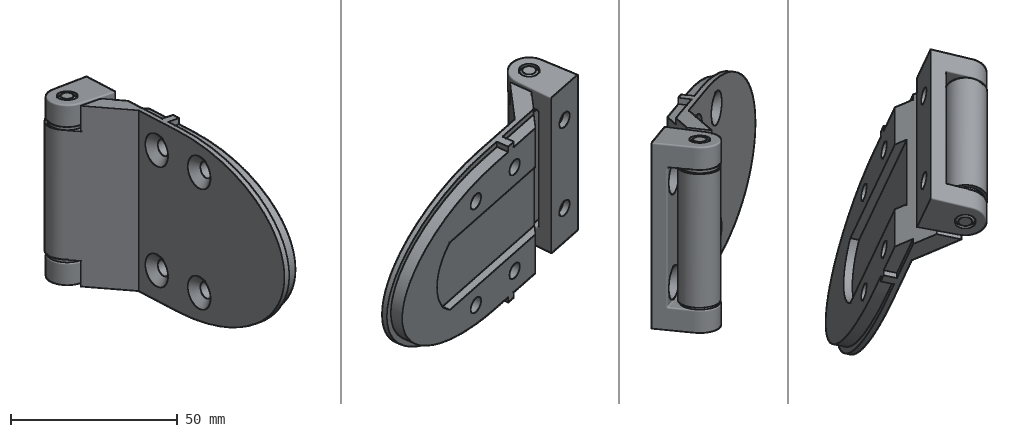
import cadquery as cq
import math


HEIGHT = 60.0
KNUCKLE_RADIUS = 6.5
LEAF_BACK = 16.0
TIP_X = 90.0

KNUCKLE_X = -0.5
KNUCKLE_Y = 0.0
KNUCKLE_LENGTH = 43.0

PIN_DIAMETER = 6.0
PIN_CHAMFER = 1.0
PIN_HOLE_DIAMETER = 6.2
WASHER_DIAMETER = 12.0

BRACKET_BACK = 13.0
BRACKET_HALF_WIDTH = 7.0
OPENING_HEIGHT = 45.0
OPENING_FLOOR = 8.05
BRACKET_FILLET = 0.5
BRACKET_SCREW_SPACING = 33.95
WASHER_THICKNESS = (OPENING_HEIGHT - KNUCKLE_LENGTH) / 2

LEAF_THICKNESS = 6.0
BEND_X = 21.4
NOTCH_X = 8.0
FLANGE_THICKNESS = 1.8
FLANGE_LIP = 2.0
TIP_LENGTH = 50.0
TAB_START_X = 30.4
TAB_WIDTH = 2.9
LEAF_FRONT = LEAF_BACK - LEAF_THICKNESS
FLANGE_BACK = LEAF_FRONT + FLANGE_THICKNESS
TIP_CENTRE_X = TIP_X - TIP_LENGTH

POCKET_WIDTH = 26.0
POCKET_FLOOR = 13.3
POCKET_END_X = 70.0
POCKET_END_RADIUS = 16.0

SCREW_DIAMETER = 5.3
COUNTERSINK_DIAMETER = 10.7
LEAF_SCREW_X = (30.0, 50.0)
LEAF_SCREW_SPACING = 40.0


def bar_on_axis(diameter, length):
    """Round bar on the pin axis, centred on Z = 0."""
    return cq.Workplane("XY", origin=(0, 0, -length / 2)).circle(diameter / 2).extrude(length)


def plane_facing_front(y):
    """Workplane at the given Y that faces -Y, with local axes along +X and +Z."""
    return cq.Workplane("XZ", origin=(0, y, 0))


def screw_points(x_places, spacing):
    """Screw centres in X and Z, in pairs on either side of Z = 0."""
    return [(x, side * spacing / 2) for x in x_places for side in (-1, 1)]


def countersunk_holes(body, face_y, depth, points):
    """Drill screw holes from the front face at face_y, with a 90 degree countersink."""
    countersink_depth = (COUNTERSINK_DIAMETER - SCREW_DIAMETER) / 2
    for x, z in points:
        drill = (
            cq.Workplane("XY", origin=(x, 0, z))
            .moveTo(0, face_y)
            .lineTo(COUNTERSINK_DIAMETER / 2, face_y)
            .lineTo(SCREW_DIAMETER / 2, face_y + countersink_depth)
            .lineTo(SCREW_DIAMETER / 2, face_y + depth)
            .lineTo(0, face_y + depth)
            .close()
            .revolve(360, (0, 0, 0), (0, 1, 0))
        )
        body = body.cut(drill)
    return body


def make_bracket():
    """U-shaped bracket with tapered flanks, a rounded front and two arms that hold the pin."""
    corner_distance = math.hypot(BRACKET_HALF_WIDTH, BRACKET_BACK)
    corner_angle = math.atan2(BRACKET_BACK, BRACKET_HALF_WIDTH)
    flank_normal = corner_angle - math.acos(KNUCKLE_RADIUS / corner_distance)
    tangent_x = KNUCKLE_RADIUS * math.cos(flank_normal)
    tangent_y = KNUCKLE_RADIUS * math.sin(flank_normal)
    bracket = (
        cq.Workplane("XY", origin=(0, 0, -HEIGHT / 2))
        .moveTo(-BRACKET_HALF_WIDTH, BRACKET_BACK)
        .lineTo(-tangent_x, tangent_y)
        .threePointArc((0, -KNUCKLE_RADIUS), (tangent_x, tangent_y))
        .lineTo(BRACKET_HALF_WIDTH, BRACKET_BACK)
        .close()
        .extrude(HEIGHT)
    )
    bracket = bracket.faces("<Z or >Z").edges("not(>Y)").fillet(BRACKET_FILLET)

    opening_width = 4 * BRACKET_HALF_WIDTH
    opening_reach = 2 * KNUCKLE_RADIUS
    opening = cq.Workplane("XY").box(
        opening_width, opening_reach + OPENING_FLOOR, OPENING_HEIGHT
    ).translate((0, (OPENING_FLOOR - opening_reach) / 2, 0))
    opening = opening.edges("|X and >Y").fillet(BRACKET_FILLET)
    bracket = bracket.cut(opening)
    margin = BRACKET_FILLET / 2
    opening_zone = cq.selectors.BoxSelector(
        (-opening_width, -opening_reach, -OPENING_HEIGHT / 2 - margin),
        (opening_width, OPENING_FLOOR + margin, OPENING_HEIGHT / 2 + margin),
    )
    bracket = bracket.edges(opening_zone).edges("not(|X)").fillet(BRACKET_FILLET)

    bracket = bracket.cut(bar_on_axis(PIN_HOLE_DIAMETER, HEIGHT))
    points = screw_points([0], BRACKET_SCREW_SPACING)
    wall = BRACKET_BACK - OPENING_FLOOR
    return countersunk_holes(bracket, OPENING_FLOOR, wall, points)


def make_pin():
    """Plain pin, flush with the bracket, with a chamfer at each end."""
    return bar_on_axis(PIN_DIAMETER, HEIGHT).faces("<Z or >Z").chamfer(PIN_CHAMFER)


def make_washer(side):
    """Washer between the knuckle and the upper (side = 1) or lower (side = -1) arm."""
    centre_z = side * (KNUCKLE_LENGTH + WASHER_THICKNESS) / 2
    washer = bar_on_axis(WASHER_DIAMETER, WASHER_THICKNESS)
    return washer.cut(bar_on_axis(PIN_DIAMETER, WASHER_THICKNESS)).translate((0, 0, centre_z))


def tip_outline(y, inset):
    """Leaf outline at the given Y: straight edges and an elliptical tip, moved in by inset."""
    half_height = HEIGHT / 2 - inset
    return (
        plane_facing_front(y)
        .moveTo(NOTCH_X, half_height)
        .lineTo(TIP_CENTRE_X, half_height)
        .ellipseArc(TIP_LENGTH - inset, half_height, -90, 90, rotation_angle=0, sense=-1, startAtCurrent=True)
        .lineTo(NOTCH_X, -half_height)
        .close()
    )


def make_leaf():
    """Bent leaf: knuckle, sloped neck and a plate with an elliptical tip."""
    bend_dx = BEND_X - KNUCKLE_X
    bend_dy = LEAF_FRONT - KNUCKLE_Y
    slope_angle = math.atan2(bend_dy, bend_dx) + math.asin(KNUCKLE_RADIUS / math.hypot(bend_dx, bend_dy))
    tangent_x = KNUCKLE_X + KNUCKLE_RADIUS * math.sin(slope_angle)
    tangent_y = KNUCKLE_Y - KNUCKLE_RADIUS * math.cos(slope_angle)

    knuckle_top = KNUCKLE_Y + KNUCKLE_RADIUS
    back_bend_x = BEND_X - LEAF_THICKNESS * math.tan(slope_angle / 2)
    neck_start_x = back_bend_x - (LEAF_BACK - knuckle_top) / math.tan(slope_angle)
    profile = (
        cq.Workplane("XY", origin=(0, 0, -HEIGHT / 2))
        .moveTo(KNUCKLE_X, knuckle_top)
        .lineTo(neck_start_x, knuckle_top)
        .lineTo(back_bend_x, LEAF_BACK)
        .lineTo(TIP_X, LEAF_BACK)
        .lineTo(TIP_X, LEAF_FRONT)
        .lineTo(BEND_X, LEAF_FRONT)
        .lineTo(tangent_x, tangent_y)
        .threePointArc((KNUCKLE_X - KNUCKLE_RADIUS, KNUCKLE_Y), (KNUCKLE_X, knuckle_top))
        .close()
    )
    strip = profile.extrude(HEIGHT)

    front_reach = FLANGE_BACK + KNUCKLE_RADIUS
    body = tip_outline(FLANGE_BACK, 0).extrude(front_reach)
    body = body.union(tip_outline(LEAF_BACK, FLANGE_LIP).extrude(LEAF_BACK - FLANGE_BACK))
    tabs = cq.Workplane("XY").box(TAB_WIDTH, LEAF_BACK - FLANGE_BACK, HEIGHT)
    tab_centre = (TAB_START_X + TAB_WIDTH / 2, (LEAF_BACK + FLANGE_BACK) / 2, 0)
    body = body.union(tabs.translate(tab_centre)).intersect(strip)

    near_knuckle = cq.Workplane("XY").box(2 * BEND_X, 4 * KNUCKLE_RADIUS, KNUCKLE_LENGTH)
    leaf = body.union(strip.intersect(near_knuckle))
    leaf = leaf.cut(bar_on_axis(PIN_DIAMETER, KNUCKLE_LENGTH))

    half_width = POCKET_WIDTH / 2
    sagitta = POCKET_END_RADIUS - math.sqrt(POCKET_END_RADIUS**2 - half_width**2)
    pocket = (
        plane_facing_front(LEAF_BACK)
        .moveTo(0, half_width)
        .lineTo(POCKET_END_X - sagitta, half_width)
        .threePointArc((POCKET_END_X, 0), (POCKET_END_X - sagitta, -half_width))
        .lineTo(0, -half_width)
        .close()
        .extrude(LEAF_BACK - POCKET_FLOOR)
    )
    leaf = leaf.cut(pocket)
    points = screw_points(LEAF_SCREW_X, LEAF_SCREW_SPACING)
    return countersunk_holes(leaf, LEAF_FRONT, LEAF_THICKNESS, points)


bracket = make_bracket()
leaf = make_leaf()
pin = make_pin()
washers = [make_washer(side) for side in (-1, 1)]

result = cq.Compound.makeCompound([bracket.val(), leaf.val(), pin.val(), *[washer.val() for washer in washers]])